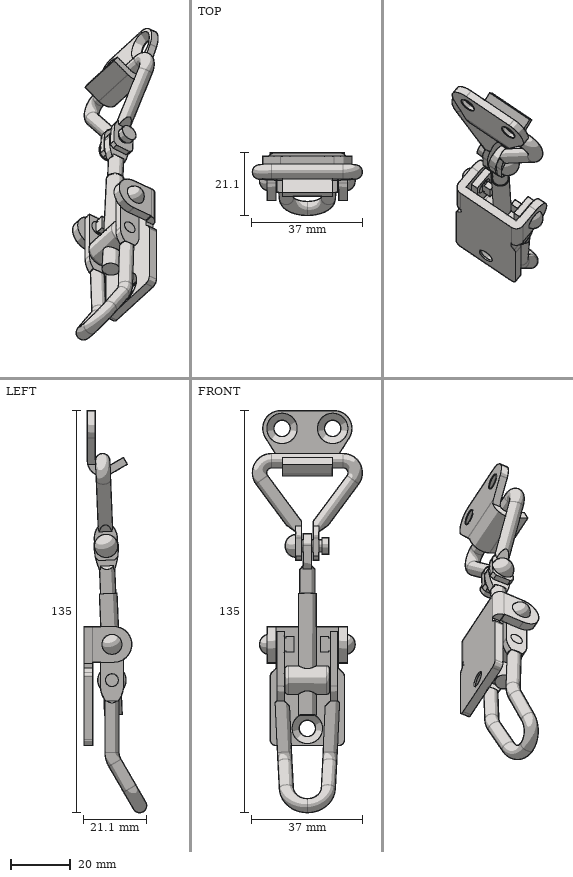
import cadquery as cq
import math


SCREW_HOLE = 5.4
SCREW_HEAD = 10.2
SCREW_CONE = 90

BRACKET_WIDTH = 27.0
BRACKET_SHEET = 3.0
BASE_WIDTH = 25.0
BASE_BOTTOM = -34.0
EAR_RADIUS = 6.0
EAR_CENTRE_Y = -10.1
NECK_WIDTH = 21.0
NECK_BOTTOM = -8.0
BASE_CORNER = 2.0
BEND_RADIUS = 2.8
BEND_BOTTOM = -6.4
BASE_HOLE_Z = -28.2

PIVOT_Y = -9.4
STUD_DIAMETER = 5.6
STUD_DOME_DIAMETER = 6.7
STUD_DOME_HEIGHT = 2.6
TONGUE_THICKNESS = 2.2
TONGUE_LENGTH = 3.3
TONGUE_HEIGHT = 5.2
TONGUE_NECK_HEIGHT = 4.4
TONGUE_NECK_LENGTH = 0.6

CHEEK_OUTER_X = 10.2
CHEEK_THICKNESS = 2.5
CHEEK_WIDTH = 7.8
CHEEK_TIP_WIDTH = 4.2
CHEEK_TOP = 4.4
CHEEK_TAPER_TOP = -14.0
CHEEK_BOTTOM = -19.0
LEVER_WIRE = 4.8
LEVER_TOP_X = 8.45
LEVER_TAPER = math.radians(2.6)
LEVER_BEND = math.radians(30)
LEVER_BEND_Z = -38.03
LEVER_BEND_RADIUS = 7.0
GRIP_LENGTH = 18.6

NUT_Z = -12.0
NUT_DIAMETER = 9.6
NUT_FILLET = 1.1
JOURNAL_DIAMETER = 4.3
CHEEK_INNER_X = CHEEK_OUTER_X - CHEEK_THICKNESS
NUT_CLEARANCE = 0.2

RIVET_Y = -7.45
RIVET_Z = 33.05
EYE_RADIUS = 4.1
EYE_THICKNESS = 2.8
SHANK_DIAMETER = 5.2
THREAD_DIAMETER = 6.0
SHANK_TOP = 6.7
THREAD_TOP = 16.0
ROD_BOTTOM = 56.8

BAR_Y = -6.3
BAR_Z = 61.65
LOOP_WIDTH = 37.0
LOOP_WIRE = 4.9
LOOP_STRAIGHT = 24.0
LEG_ANGLE = math.radians(53.5)
LUG_INNER_X = 1.9
LUG_OUTER_X = 3.9
LUG_WIDTH = 7.8
LUG_BOTTOM = -4.8
LUG_CHAMFER = 1.2
LUG_TOP = 6.6
LUG_TOP_WIDTH = 4.8
LUG_TAPER_START = 2.5
CRIMP_LOW_Z = 4.8
CRIMP_ANGLE = math.radians(35)

RIVET_DIAMETER = 4.2
RIVET_HEAD_DIAMETER = 7.8
RIVET_HEAD_HEIGHT = 3.6
RIVET_NECK = 1.0
RIVET_TAIL_DIAMETER = 5.6
RIVET_TAIL_LENGTH = 2.3

CATCH_BACK_Y = -1.1
CATCH_SHEET = 2.7
CATCH_TOP = 78.5
CATCH_CORNER_RADIUS = 6.0
CATCH_WIDTH = 30.0
CATCH_HOLE_X = 8.5
HOOK_WIDTH = 16.8
HOOK_TOP = 60.3
HOOK_ANGLE = math.radians(30)
HOOK_LIP = 6.6


def polar(centre, radius, angle):
    return (centre[0] + radius * math.cos(angle), centre[1] + radius * math.sin(angle))


def cylinder_x(diameter, x_start, x_end, y=0.0, z=0.0):
    return (
        cq.Workplane("YZ", origin=(x_start, y, z)).circle(diameter / 2).extrude(x_end - x_start)
    )


def taper_mid(wide_half, narrow_half, length):
    """Halfway point of an arc that leaves the wide end straight along and closes to the narrow end.

    Returns the half width there and the distance from the wide end.
    """
    drop = wide_half - narrow_half
    radius = (length**2 + drop**2) / (2 * drop)
    mid_angle = math.asin(length / radius) / 2
    return wide_half - radius * (1 - math.cos(mid_angle)), radius * math.sin(mid_angle)


def dome_x(diameter, height, x_base, y=0.0, z=0.0):
    """Spherical cap that stands on the plane x = x_base and points to -X."""
    radius = (diameter**2 / 4 + height**2) / (2 * height)
    ball = cq.Workplane("XY").sphere(radius).translate((x_base - height + radius, y, z))
    return ball.intersect(cylinder_x(3 * radius, x_base - height, x_base, y, z))


def mirrored_pair(shape):
    return shape.union(shape.mirror("YZ"))


def countersunk(plate, x, z, front_y):
    face = cq.Workplane("XZ", origin=(x, front_y, z))
    depth = (SCREW_HEAD - SCREW_HOLE) / 2 / math.tan(math.radians(SCREW_CONE / 2))
    cone = cq.Solid.makeCone(
        SCREW_HEAD / 2, SCREW_HOLE / 2, depth, cq.Vector(x, front_y, z), cq.Vector(0, 1, 0)
    )
    return plate.cut(face.circle(SCREW_HOLE / 2).extrude(-SCREW_HEAD)).cut(cq.Workplane(cone))


def make_stud():
    """Stud of the -X ear: dome outside, shaft flush with the cheek, and a flat tongue inside."""
    ear_face = -BRACKET_WIDTH / 2
    neck_end = -CHEEK_INNER_X + TONGUE_NECK_LENGTH
    tongue_end = -CHEEK_INNER_X + TONGUE_LENGTH
    dome = dome_x(STUD_DOME_DIAMETER, STUD_DOME_HEIGHT, ear_face, PIVOT_Y)
    shaft = cylinder_x(STUD_DIAMETER, ear_face, -CHEEK_INNER_X, PIVOT_Y)
    tongue = cq.Workplane("YZ", origin=(neck_end, PIVOT_Y, 0)).rect(TONGUE_THICKNESS, TONGUE_HEIGHT)
    neck = cq.Workplane("YZ", origin=(-CHEEK_INNER_X, PIVOT_Y, 0))
    neck = neck.rect(TONGUE_THICKNESS, TONGUE_NECK_HEIGHT)
    return (
        dome.union(shaft)
        .union(neck.extrude(TONGUE_NECK_LENGTH))
        .union(tongue.extrude(tongue_end - neck_end))
    )


def make_bracket():
    front_y = -BRACKET_SHEET
    channel = (
        cq.Workplane("YZ", origin=(-BRACKET_WIDTH / 2, 0, 0))
        .moveTo(0, EAR_RADIUS)
        .lineTo(EAR_CENTRE_Y, EAR_RADIUS)
        .threePointArc((EAR_CENTRE_Y - EAR_RADIUS, 0), (EAR_CENTRE_Y, -EAR_RADIUS))
        .lineTo(front_y, -EAR_RADIUS)
        .lineTo(front_y, BEND_BOTTOM)
        .lineTo(0, BEND_BOTTOM)
        .close()
        .extrude(BRACKET_WIDTH)
        .edges("|Z and >Y")
        .fillet(BEND_RADIUS)
    )
    ear_depth = EAR_RADIUS - EAR_CENTRE_Y
    inside = cq.Workplane("XY").box(
        BRACKET_WIDTH - 2 * BRACKET_SHEET, ear_depth, 4 * EAR_RADIUS, centered=(True, False, True)
    ).translate((0, front_y - ear_depth, 0))
    base_half = BASE_WIDTH / 2
    neck_half = NECK_WIDTH / 2
    shoulder_z = NECK_BOTTOM - (base_half - neck_half)
    base = (
        cq.Workplane("XZ")
        .polyline(
            [
                (neck_half, 0),
                (neck_half, NECK_BOTTOM),
                (base_half, shoulder_z),
                (base_half, BASE_BOTTOM),
                (-base_half, BASE_BOTTOM),
                (-base_half, shoulder_z),
                (-neck_half, NECK_BOTTOM),
                (-neck_half, 0),
            ]
        )
        .close()
        .extrude(BRACKET_SHEET)
        .faces("<X or >X")
        .edges("|Y")
        .fillet(BASE_CORNER)
    )
    plate = countersunk(channel.cut(inside).union(base), 0, BASE_HOLE_Z, front_y)
    return plate.union(mirrored_pair(make_stud()))


def make_lever_wire():
    """The +X half of a wire U: a leg leaning inward, a bend to the front, and half the round grip."""
    slope = math.tan(LEVER_TAPER)
    start = cq.Vector(LEVER_TOP_X, PIVOT_Y, CHEEK_BOTTOM)
    leg = cq.Vector(-math.sin(LEVER_TAPER), 0, -math.cos(LEVER_TAPER))
    down = cq.Vector(0, -math.sin(LEVER_BEND), -math.cos(LEVER_BEND))
    grip = cq.Vector(-slope, down.y, down.z).normalized()
    bend_x = LEVER_TOP_X - (CHEEK_BOTTOM - LEVER_BEND_Z) * slope
    bend = cq.Vector(bend_x, PIVOT_Y, LEVER_BEND_Z)

    turn = leg.getAngle(grip)
    setback = LEVER_BEND_RADIUS * math.tan(turn / 2)
    bend_in = bend - leg * setback
    bend_out = bend + grip * setback
    inward = (grip - leg).normalized()
    bend_mid = bend + inward * (LEVER_BEND_RADIUS / math.cos(turn / 2) - LEVER_BEND_RADIUS)

    sine, cosine = math.sin(LEVER_TAPER), math.cos(LEVER_TAPER)
    grip_radius = (bend_x * cosine - GRIP_LENGTH * sine) / (1 - sine)
    tip = cq.Vector(0, bend.y, bend.z) + down * GRIP_LENGTH
    centre = tip - down * grip_radius
    grip_start = centre + cq.Vector(cosine, 0, 0) * grip_radius + down * (sine * grip_radius)

    mid_angle = (math.pi / 2 + LEVER_TAPER) / 2
    grip_mid = centre + down * (grip_radius * math.sin(mid_angle))
    grip_mid += cq.Vector(grip_radius * math.cos(mid_angle), 0, 0)
    half = [
        cq.Edge.makeLine(start, bend_in),
        cq.Edge.makeThreePointArc(bend_in, bend_mid, bend_out),
        cq.Edge.makeLine(bend_out, grip_start),
        cq.Edge.makeThreePointArc(grip_start, grip_mid, tip),
    ]
    path = cq.Wire.assembleEdges(half)
    section = cq.Workplane(cq.Plane(start, (0, 1, 0), leg)).circle(LEVER_WIRE / 2)
    return section.sweep(cq.Workplane(path))


def make_cheek():
    """Flat arm on the +X side, narrowing to the wire in two arcs, with bevelled wire shoulders."""
    half = CHEEK_WIDTH / 2
    tip = CHEEK_TIP_WIDTH / 2
    mid_y, mid_drop = taper_mid(half, tip, CHEEK_TAPER_TOP - CHEEK_BOTTOM)
    mid_z = CHEEK_TAPER_TOP - mid_drop
    return (
        cq.Workplane("YZ", origin=(CHEEK_INNER_X, PIVOT_Y, 0))
        .moveTo(-half, CHEEK_TOP)
        .lineTo(-half, CHEEK_TAPER_TOP)
        .threePointArc((-mid_y, mid_z), (-tip, CHEEK_BOTTOM))
        .lineTo(tip, CHEEK_BOTTOM)
        .threePointArc((mid_y, mid_z), (half, CHEEK_TAPER_TOP))
        .lineTo(half, CHEEK_TOP)
        .close()
        .extrude(CHEEK_THICKNESS)
    )


def make_lever():
    bevels = cq.Workplane("XZ", origin=(0, PIVOT_Y + LEVER_WIRE, 0))
    top = CHEEK_BOTTOM + LEVER_WIRE / 2
    for corner_x, side in ((CHEEK_INNER_X, -1), (CHEEK_OUTER_X, 1)):
        end_x = corner_x + side * LEVER_WIRE
        bevels = bevels.polyline(
            [
                (corner_x, CHEEK_BOTTOM),
                (end_x, CHEEK_BOTTOM - LEVER_WIRE),
                (end_x, top),
                (corner_x, top),
            ]
        ).close()
    arm = make_lever_wire().cut(bevels.extrude(2 * LEVER_WIRE)).union(make_cheek())
    lever = mirrored_pair(arm)
    pivots = cylinder_x(STUD_DIAMETER, -BRACKET_WIDTH, BRACKET_WIDTH, PIVOT_Y)
    journals = cylinder_x(JOURNAL_DIAMETER, -BRACKET_WIDTH, BRACKET_WIDTH, PIVOT_Y, NUT_Z)
    return lever.cut(pivots).cut(journals)


def place_from_rivet(shape, far_y, far_z):
    """Move a part built about the rivet axis to the rivet and lean it toward a far axis."""
    angle = math.degrees(math.atan((RIVET_Y - far_y) / (far_z - RIVET_Z)))
    return shape.rotate((0, 0, 0), (1, 0, 0), angle).translate((0, RIVET_Y, RIVET_Z))


def make_rod():
    shank_radius = SHANK_DIAMETER / 2
    shoulder = SHANK_TOP + shank_radius - EYE_THICKNESS / 2
    mid_y, mid_drop = taper_mid(EYE_RADIUS, shank_radius, shoulder)
    eye = (
        cq.Workplane("YZ", origin=(-EYE_THICKNESS / 2, 0, 0))
        .moveTo(shank_radius, -shoulder)
        .threePointArc((mid_y, -mid_drop), (EYE_RADIUS, 0))
        .threePointArc((0, EYE_RADIUS), (-EYE_RADIUS, 0))
        .threePointArc((-mid_y, -mid_drop), (-shank_radius, -shoulder))
        .close()
        .extrude(EYE_THICKNESS)
    )
    shank = cq.Workplane("XY").workplane(offset=-THREAD_TOP).circle(shank_radius)
    shank = shank.extrude(THREAD_TOP - SHANK_TOP)
    roof = (
        cq.Workplane("XZ", origin=(0, shank_radius, 0))
        .polyline(
            [
                (-EYE_THICKNESS / 2, -SHANK_TOP),
                (EYE_THICKNESS / 2, -SHANK_TOP),
                (shank_radius, -shoulder),
                (shank_radius, -THREAD_TOP),
                (-shank_radius, -THREAD_TOP),
                (-shank_radius, -shoulder),
            ]
        )
        .close()
        .extrude(SHANK_DIAMETER)
    )
    thread = cq.Workplane("XY").workplane(offset=-ROD_BOTTOM).circle(THREAD_DIAMETER / 2)
    thread = thread.extrude(ROD_BOTTOM - THREAD_TOP)
    hole = cylinder_x(RIVET_DIAMETER, -EYE_THICKNESS, EYE_THICKNESS)
    rod = shank.intersect(roof).union(eye).union(thread).cut(hole)
    return place_from_rivet(rod, PIVOT_Y, NUT_Z)


def make_nut(rod):
    shoulder = CHEEK_INNER_X - NUT_CLEARANCE
    barrel = cylinder_x(NUT_DIAMETER, -shoulder, shoulder, PIVOT_Y, NUT_Z).edges().fillet(NUT_FILLET)
    journals = cylinder_x(JOURNAL_DIAMETER, -CHEEK_OUTER_X, CHEEK_OUTER_X, PIVOT_Y, NUT_Z)
    return barrel.union(journals).cut(rod)


def make_lug():
    half = LUG_WIDTH / 2
    top_half = LUG_TOP_WIDTH / 2
    mid_y, mid_rise = taper_mid(half, top_half, LUG_TOP - LUG_TAPER_START)
    mid_z = LUG_TAPER_START + mid_rise
    return (
        cq.Workplane("YZ", origin=(-LUG_OUTER_X, 0, 0))
        .moveTo(-half + LUG_CHAMFER, LUG_BOTTOM)
        .lineTo(half - LUG_CHAMFER, LUG_BOTTOM)
        .lineTo(half, LUG_BOTTOM + LUG_CHAMFER)
        .lineTo(half, LUG_TAPER_START)
        .threePointArc((mid_y, mid_z), (top_half, LUG_TOP))
        .lineTo(-top_half, LUG_TOP)
        .threePointArc((-mid_y, mid_z), (-half, LUG_TAPER_START))
        .lineTo(-half, LUG_BOTTOM + LUG_CHAMFER)
        .close()
        .extrude(LUG_OUTER_X - LUG_INNER_X)
    )


def make_loop_side(bar_z):
    """Half of the bar with the corner bend and the leg on the -X side, cut flat where it is crimped."""
    straight = LOOP_STRAIGHT / 2
    bend_radius = (LOOP_WIDTH - LOOP_WIRE) / 2 - straight
    centre = (-straight, bar_z - bend_radius)
    end_angle = 3 * math.pi / 2 - LEG_ANGLE
    bend_angle = (math.pi / 2 + end_angle) / 2
    leg_start = polar(centre, bend_radius, end_angle)
    leg_length = -leg_start[0] / math.cos(LEG_ANGLE)
    path = (
        cq.Workplane("XZ")
        .moveTo(0, bar_z)
        .lineTo(-straight, bar_z)
        .threePointArc(polar(centre, bend_radius, bend_angle), leg_start)
        .lineTo(*polar(leg_start, leg_length, -LEG_ANGLE))
    )
    wire = cq.Workplane("YZ", origin=(0, 0, bar_z)).circle(LOOP_WIRE / 2).sweep(path)
    far = LOOP_WIDTH
    crimp_end = polar((-LUG_OUTER_X, CRIMP_LOW_Z), far, math.pi - CRIMP_ANGLE)
    crimp = (
        cq.Workplane("XZ", origin=(0, LOOP_WIRE, 0))
        .polyline(
            [
                (-LUG_INNER_X, bar_z - LOOP_WIRE),
                (-LUG_INNER_X, CRIMP_LOW_Z),
                (-LUG_OUTER_X, CRIMP_LOW_Z),
                crimp_end,
                (crimp_end[0], -far),
                (far, -far),
                (far, bar_z - LOOP_WIRE),
            ]
        )
        .close()
        .extrude(2 * LOOP_WIRE)
    )
    return wire.cut(crimp)


def make_rivet():
    tail_start = LUG_OUTER_X + RIVET_NECK
    shaft = cylinder_x(RIVET_DIAMETER, -LUG_OUTER_X, tail_start)
    tail = cylinder_x(RIVET_TAIL_DIAMETER, tail_start, tail_start + RIVET_TAIL_LENGTH)
    return dome_x(RIVET_HEAD_DIAMETER, RIVET_HEAD_HEIGHT, -LUG_OUTER_X).union(shaft).union(tail)


def make_loop():
    bar_z = math.hypot(BAR_Y - RIVET_Y, BAR_Z - RIVET_Z)
    side = make_loop_side(bar_z).union(make_lug())
    return place_from_rivet(mirrored_pair(side).union(make_rivet()), BAR_Y, BAR_Z)


def make_catch_outline():
    """Front outline: two rounded corners whose lower tangents run in to the sides of the hook."""
    corner = (CATCH_WIDTH / 2 - CATCH_CORNER_RADIUS, CATCH_TOP - CATCH_CORNER_RADIUS)
    foot = (HOOK_WIDTH / 2, HOOK_TOP)
    tangent = math.atan2(foot[1] - corner[1], foot[0] - corner[0])
    tangent += math.acos(CATCH_CORNER_RADIUS / math.dist(corner, foot))
    arc_end = polar(corner, CATCH_CORNER_RADIUS, tangent)
    arc_mid = polar(corner, CATCH_CORNER_RADIUS, (tangent + math.pi / 2) / 2)
    return (
        cq.Workplane("XZ")
        .moveTo(-foot[0], foot[1])
        .lineTo(*foot)
        .lineTo(*arc_end)
        .threePointArc(arc_mid, (corner[0], CATCH_TOP))
        .lineTo(-corner[0], CATCH_TOP)
        .threePointArc((-arc_mid[0], arc_mid[1]), (-arc_end[0], arc_end[1]))
        .close()
        .extrude(-BAR_Y)
    )


def make_catch():
    """Plate bent under the loop bar, with a straight lip rising to the front."""
    front_y = CATCH_BACK_Y - CATCH_SHEET
    centre = (BAR_Y, BAR_Z)
    inner = front_y - BAR_Y
    outer = CATCH_BACK_Y - BAR_Y
    lip_start = -math.pi / 2 - HOOK_ANGLE
    lip_direction = math.pi - HOOK_ANGLE
    outer_end = polar(centre, outer, lip_start)
    inner_end = polar(centre, inner, lip_start)
    sheet = (
        cq.Workplane("YZ", origin=(-CATCH_WIDTH / 2, 0, 0))
        .moveTo(front_y, CATCH_TOP)
        .lineTo(CATCH_BACK_Y, CATCH_TOP)
        .lineTo(CATCH_BACK_Y, BAR_Z)
        .threePointArc(polar(centre, outer, lip_start / 2), outer_end)
        .lineTo(*polar(outer_end, HOOK_LIP, lip_direction))
        .lineTo(*polar(inner_end, HOOK_LIP, lip_direction))
        .lineTo(*inner_end)
        .threePointArc(polar(centre, inner, lip_start / 2), (front_y, BAR_Z))
        .close()
        .extrude(CATCH_WIDTH)
    )
    hook_strip = cq.Workplane("XY").box(HOOK_WIDTH, CATCH_WIDTH, 2 * CATCH_TOP)
    catch = sheet.intersect(make_catch_outline().union(hook_strip))
    for x in (-CATCH_HOLE_X, CATCH_HOLE_X):
        catch = countersunk(catch, x, CATCH_TOP - CATCH_CORNER_RADIUS, front_y)
    return catch


catch = make_catch()
loop = make_loop()
rod = make_rod()
nut = make_nut(rod)
lever = make_lever()
bracket = make_bracket()

bodies = (catch, loop, rod, nut, lever, bracket)
result = cq.Compound.makeCompound([body.solids().val() for body in bodies])